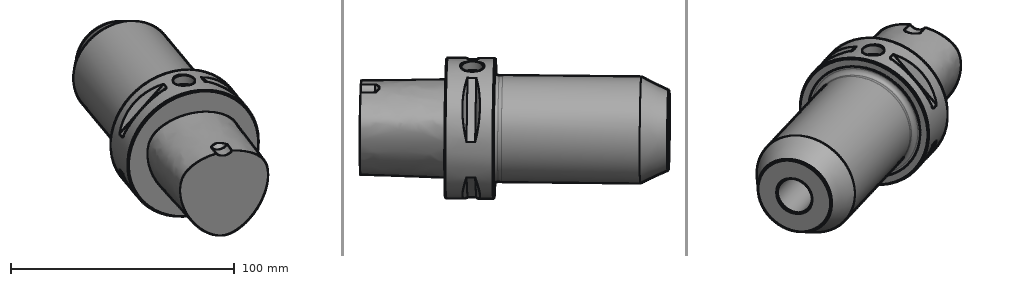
import cadquery as cq
import math

length = 138.0
nose_chamfer = 0.5
nose_end = 12.7
neck_start = 74.5
neck_end = 76.2
flange_start = 77.8
flange_end = 99.9

nose_face_dia = 35.0
nose_dia = 36.3
body_dia = 48.0
neck_dia = 47.7
relief_dia = 54.6
flange_dia = 63.0
flange_chamfer = 0.5
neck_fillet = 2.2

bore_dia = 16.5
bore_chamfer = 0.5
bore_step_depth = 41.4
inner_bore_dia = 16.0
bore_depth = 49.7
bore_floor_dia = 14.9

shank_mean_radius = 22.1
shank_lobe = 1.4
shank_taper = 1 / 40
shank_points = 48

feature_x = 88.0
groove_floor_radius = 27.7
groove_floor_width = 3.9
groove_mouth_width = 7.9
pocket_dia = 10.0
pocket_depth = 4.7
pocket_chamfer = 0.4
socket_dia = 4.0
socket_depth = 2.1
socket_tip_angle = 118.0

keyway_dia = 10.0
keyway_tip_angle = 90.0
keyway_length = 6.3
keyway_axis_z = 22.8


def tip_height(diameter, tip_angle):
    """Height of a conical drill tip with this included angle in degrees."""
    return diameter / 2 / math.tan(math.radians(tip_angle / 2))


def make_turned_body():
    """Nose cone, body, filleted neck and flange, revolved about X."""
    neck_radius = neck_dia / 2
    flange_radius = flange_dia / 2
    fillet_end_x = neck_end + neck_fillet
    fillet_end_radius = neck_radius + neck_fillet
    arc_offset = neck_fillet * math.sin(math.radians(45))
    profile = (
        cq.Workplane("XY")
        .lineTo(0, nose_face_dia / 2)
        .lineTo(nose_chamfer, nose_dia / 2)
        .lineTo(nose_end, body_dia / 2)
        .lineTo(neck_start, body_dia / 2)
        .lineTo(neck_end, neck_radius)
        .threePointArc(
            (neck_end + arc_offset, fillet_end_radius - arc_offset),
            (fillet_end_x, fillet_end_radius),
        )
        .lineTo(fillet_end_x, relief_dia / 2)
        .lineTo(flange_start, relief_dia / 2)
        .lineTo(flange_start, flange_radius - flange_chamfer)
        .lineTo(flange_start + flange_chamfer, flange_radius)
        .lineTo(flange_end - flange_chamfer, flange_radius)
        .lineTo(flange_end, flange_radius - flange_chamfer)
        .lineTo(flange_end, 0)
        .close()
    )
    return profile.revolve(360, (0, 0, 0), (1, 0, 0))


def lobed_point(angle, mean_radius):
    """Point of the constant-width lobed outline whose normal has this angle.

    One lobe points to -Z. The outline's distance from the axis, measured
    along the normal, is mean_radius + shank_lobe * cos(3 * angle from -Z).
    """
    lobe_angle = 3 * (angle + math.pi / 2)
    reach = mean_radius + shank_lobe * math.cos(lobe_angle)
    slope = -3 * shank_lobe * math.sin(lobe_angle)
    y = reach * math.cos(angle) - slope * math.sin(angle)
    z = reach * math.sin(angle) + slope * math.cos(angle)
    return y, z


def make_shank():
    """Lobed shank, ruled between its outlines at the flange and at the end."""
    shank_length = length - flange_end
    end_radius = shank_mean_radius - shank_taper * shank_length
    angles = [2 * math.pi * i / shank_points for i in range(shank_points)]
    root_outline = [lobed_point(a, shank_mean_radius) for a in angles]
    end_outline = [lobed_point(a, end_radius) for a in angles]
    return (
        cq.Workplane("YZ", origin=(flange_end, 0, 0))
        .spline(root_outline, periodic=True)
        .close()
        .workplane(offset=shank_length)
        .spline(end_outline, periodic=True)
        .close()
        .loft(ruled=True)
    )


def make_bore():
    """Stepped blind bore with a chamfered mouth and a bevelled floor edge."""
    mouth_radius = bore_dia / 2 + bore_chamfer
    floor_bevel = (inner_bore_dia - bore_floor_dia) / 2
    return (
        cq.Workplane("XY")
        .lineTo(0, mouth_radius)
        .lineTo(bore_chamfer, bore_dia / 2)
        .lineTo(bore_step_depth, bore_dia / 2)
        .lineTo(bore_step_depth, inner_bore_dia / 2)
        .lineTo(bore_depth - floor_bevel, inner_bore_dia / 2)
        .lineTo(bore_depth, bore_floor_dia / 2)
        .lineTo(bore_depth, 0)
        .close()
        .revolve(360, (0, 0, 0), (1, 0, 0))
    )


def make_gripper_groove(angle):
    """Straight groove with sloping walls, tangent to the flange at this angle."""
    flange_radius = flange_dia / 2
    floor_half = groove_floor_width / 2
    mouth_half = groove_mouth_width / 2
    groove = (
        cq.Workplane("XZ")
        .polyline([
            (feature_x - floor_half, groove_floor_radius),
            (feature_x - mouth_half, flange_radius),
            (feature_x + mouth_half, flange_radius),
            (feature_x + floor_half, groove_floor_radius),
        ])
        .close()
        .extrude(flange_radius, both=True)
    )
    return groove.rotate((0, 0, 0), (1, 0, 0), angle)


def make_flange_pocket():
    """Round pocket in the top of the flange with a small drilled centre."""
    top = flange_dia / 2
    floor = top - pocket_depth
    socket_floor = floor - socket_depth
    pocket_radius = pocket_dia / 2
    return (
        cq.Workplane("XZ", origin=(feature_x, 0, 0))
        .moveTo(0, socket_floor - tip_height(socket_dia, socket_tip_angle))
        .lineTo(socket_dia / 2, socket_floor)
        .lineTo(socket_dia / 2, floor)
        .lineTo(pocket_radius, floor)
        .lineTo(pocket_radius, top - pocket_chamfer)
        .lineTo(pocket_radius + pocket_chamfer, top)
        .lineTo(0, top)
        .close()
        .revolve(360, (0, 0, 0), (0, 1, 0))
    )


def make_keyway():
    """Drill-shaped notch running in from the shank end."""
    keyway_start = length - keyway_length
    return (
        cq.Workplane("XY", origin=(0, 0, keyway_axis_z))
        .moveTo(keyway_start - tip_height(keyway_dia, keyway_tip_angle), 0)
        .lineTo(keyway_start, keyway_dia / 2)
        .lineTo(length, keyway_dia / 2)
        .lineTo(length, 0)
        .close()
        .revolve(360, (0, 0, 0), (1, 0, 0))
    )


result = make_turned_body().union(make_shank())
result = result.cut(make_bore()).cut(make_flange_pocket()).cut(make_keyway())
for groove_angle in (45, 135, 225, 315):
    result = result.cut(make_gripper_groove(groove_angle))